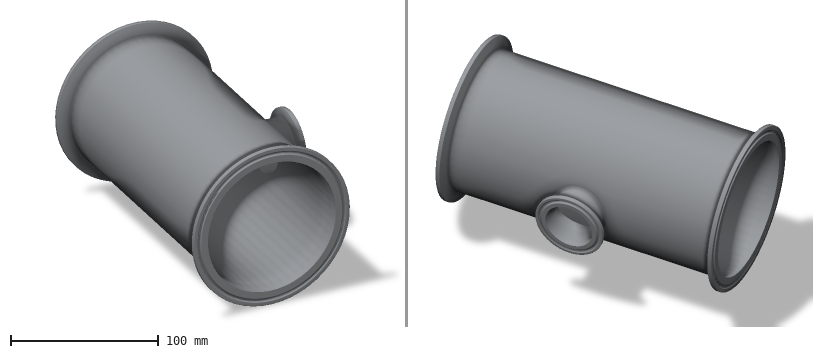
import cadquery as cq
import math

run_length = 206.4
run_outer_radius = 101.5 / 2
run_bore_radius = 97.5 / 2
run_flange_radius = 118.9 / 2
run_neck_fillet = 0.8
run_groove_radius = 55.1

branch_reach = 66.7
branch_outer_radius = 38.2 / 2
branch_bore_radius = 34.9 / 2
branch_flange_radius = 50.4 / 2
branch_neck_fillet = 1.5
branch_groove_radius = 21.9
branch_weld_fillet = 1.5

rim_thickness = 3.0
rim_edge_fillet = 0.5
flange_taper = math.radians(20)
groove_depth = 1.2
groove_half_width = 1.2
groove_lip_fillet = 0.5


def ferruled_tube(length, tube_radius, flange_radius, neck_fillet, groove_radius):
    """Solid, still unbored tube along +Z from the origin, with a grooved clamp flange at its far end."""
    taper_length = (flange_radius - tube_radius) * math.tan(flange_taper)
    rim_back = length - rim_thickness
    neck = rim_back - taper_length
    blank = (
        cq.Workplane("XZ")
        .moveTo(0, 0)
        .lineTo(tube_radius, 0)
        .lineTo(tube_radius, neck)
        .lineTo(flange_radius, rim_back)
        .lineTo(flange_radius, length)
        .lineTo(0, length)
        .close()
        .revolve(360, (0, 0), (0, 1))
    )

    blank = blank.edges(cq.selectors.RadiusNthSelector(0)).edges(">Z").fillet(neck_fillet)
    blank = blank.edges(cq.selectors.RadiusNthSelector(-1)).fillet(rim_edge_fillet)

    groove = (
        cq.Workplane("XZ")
        .moveTo(groove_radius - groove_half_width, length)
        .threePointArc(
            (groove_radius, length - groove_depth),
            (groove_radius + groove_half_width, length),
        )
        .close()
        .revolve(360, (0, 0), (0, 1))
    )
    grooved = blank.cut(groove)

    lips = cq.selectors.RadiusNthSelector(0) + cq.selectors.RadiusNthSelector(1)
    return grooved.faces(">Z").edges(lips).fillet(groove_lip_fillet)


run_half = ferruled_tube(
    run_length / 2, run_outer_radius, run_flange_radius, run_neck_fillet, run_groove_radius
)
run_half = run_half.rotate((0, 0, 0), (0, 1, 0), 90)
run = run_half.union(run_half.mirror("YZ"))
branch = ferruled_tube(
    branch_reach, branch_outer_radius, branch_flange_radius, branch_neck_fillet, branch_groove_radius
)
branch = branch.rotate((0, 0, 0), (1, 0, 0), -90)
body = run.union(branch).clean()

saddle_low = math.sqrt(run_outer_radius**2 - branch_outer_radius**2)
joint_zone = cq.selectors.BoxSelector(
    (-branch_flange_radius, saddle_low, -branch_flange_radius),
    (branch_flange_radius, run_outer_radius, branch_flange_radius),
)
body = body.edges(joint_zone).fillet(branch_weld_fillet)

run_bore = cq.Workplane("YZ").circle(run_bore_radius).extrude(run_length / 2, both=True)
branch_bore = cq.Workplane("XZ").circle(branch_bore_radius).extrude(-branch_reach)
result = body.cut(run_bore).cut(branch_bore)